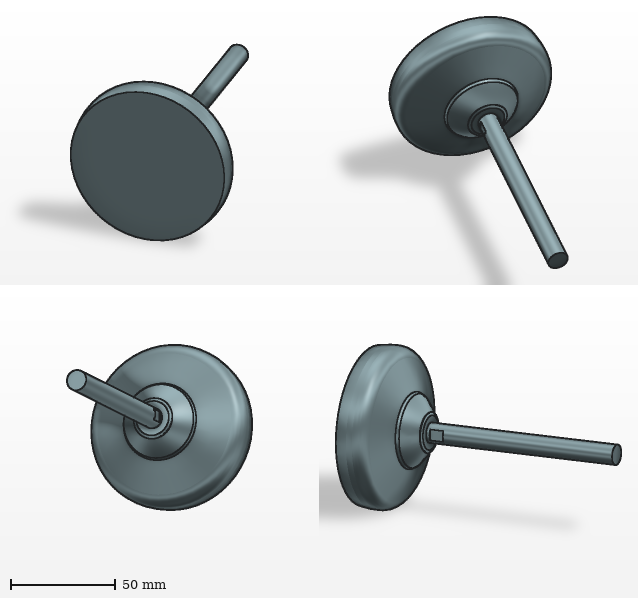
import cadquery as cq
import math

total_length = 131.5
foot_height = 31.4
sole_y = -total_length / 2
foot_top_y = sole_y + foot_height

max_radius = 40.0
sole_radius = 39.2
taper_height = 5.9
band_height = 9.1
shoulder_radius = 34.6
shoulder_height = 15.9
cone_top_radius = 18.8
cone_top_height = 21.8
dome_base_radius = 18.0
dome_base_height = 23.4
dome_top_radius = 9.3
dome_top_height = 30.1
dome_bulge = 0.5

lip_radius = 10.0
lip_height = 30.8
lip_top_radius = 8.4

stem_radius = 5.0
flat_offset = 4.2
flat_start_height = 33.3
flat_length = 7.1


def make_foot():
    """Revolve the half profile (radius, height) of the foot about Y."""
    chord_r = dome_base_radius - dome_top_radius
    chord_h = dome_top_height - dome_base_height
    chord = math.hypot(chord_r, chord_h)
    dome_mid = (
        (dome_base_radius + dome_top_radius) / 2 + dome_bulge * chord_h / chord,
        (dome_base_height + dome_top_height) / 2 + dome_bulge * chord_r / chord,
    )
    profile = (
        cq.Workplane("XY", origin=(0, sole_y, 0))
        .lineTo(sole_radius, 0)
        .lineTo(max_radius, taper_height)
        .lineTo(max_radius, band_height)
        .tangentArcPoint((shoulder_radius, shoulder_height), relative=False)
        .lineTo(cone_top_radius, cone_top_height)
        .lineTo(dome_base_radius, dome_base_height)
        .threePointArc(dome_mid, (dome_top_radius, dome_top_height))
        .lineTo(lip_radius, lip_height)
        .lineTo(lip_top_radius, foot_height)
        .lineTo(0, foot_height)
        .close()
    )
    return profile.revolve(360, (0, 0, 0), (0, 1, 0))


def make_stem():
    """Round rod standing on the foot, with a flat on each X side."""
    stem_length = total_length - foot_height
    stem = cq.Workplane("XZ", origin=(0, foot_top_y, 0)).circle(stem_radius).extrude(-stem_length)
    flat_center_y = sole_y + flat_start_height + flat_length / 2
    for side in (-1, 1):
        cutter = cq.Workplane("XY").box(stem_radius, flat_length, 2 * stem_radius)
        cutter_x = side * (flat_offset + stem_radius / 2)
        stem = stem.cut(cutter.translate((cutter_x, flat_center_y, 0)))
    return stem


foot = make_foot()
stem = make_stem()

result = cq.Compound.makeCompound([foot.val(), stem.val()])